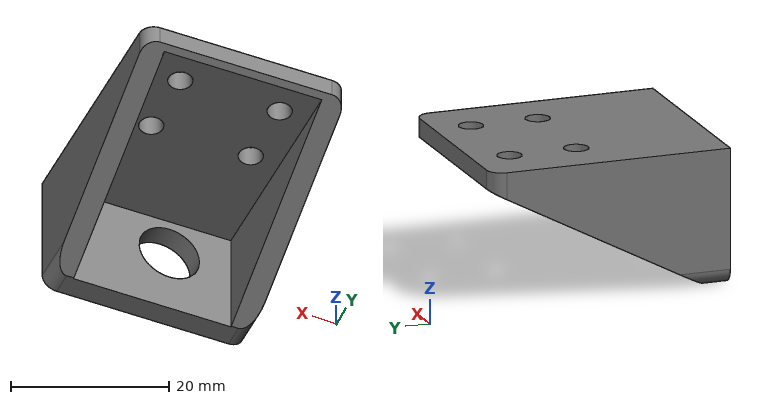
import cadquery as cq

width = 27.75
length = 32.2
height = 18.0
corner_radius = 2.0

rear_thickness = 2.5
bottom_flat_length = 3.12

wall_thickness = 3.0

mount_diameter = 3.2
mount_spacing_x = 13.75
mount_spacing_y = 9.0
mount_rear_offset = 5.0

bore_diameter = 8.3
bore_x = 11.5
bore_depth_below_top = 8.45


def rounded_block():
    """Block with its rear vertical edges and front-to-back bottom edges rounded."""
    block = cq.Workplane("XY").box(width, length, height, centered=False)
    block = block.edges("|Z and >Y").fillet(corner_radius)
    bottom_rounded = (
        cq.Workplane("XZ")
        .rect(width, height, centered=False)
        .extrude(-length)
        .edges("|Y and <Z")
        .fillet(corner_radius)
    )
    return block.intersect(bottom_rounded)


def side_profile():
    """Side outline of the wedge, extruded across the full width."""
    outline = [
        (0, 0),
        (bottom_flat_length, 0),
        (length, height - rear_thickness),
        (length, height),
        (0, height),
    ]
    return cq.Workplane("YZ").polyline(outline).close().extrude(width)


def interior_pocket():
    """Hollow behind the front wall, below the top plate and between the side walls."""
    return (
        cq.Workplane("XY")
        .box(width - 2 * wall_thickness, length, height, centered=False)
        .translate((wall_thickness, wall_thickness, -wall_thickness))
    )


def mounting_holes():
    """Four vertical through holes near the rear edge."""
    centre_y = length - mount_rear_offset - mount_spacing_y / 2
    return (
        cq.Workplane("XY")
        .center(width / 2, centre_y)
        .rarray(mount_spacing_x, mount_spacing_y, 2, 2)
        .circle(mount_diameter / 2)
        .extrude(height)
    )


def bore():
    """Off-centre bore running through the front wall into the pocket."""
    return (
        cq.Workplane("XZ")
        .center(bore_x, height - bore_depth_below_top)
        .circle(bore_diameter / 2)
        .extrude(-wall_thickness)
    )


result = (
    rounded_block()
    .intersect(side_profile())
    .cut(interior_pocket())
    .cut(mounting_holes())
    .cut(bore())
)